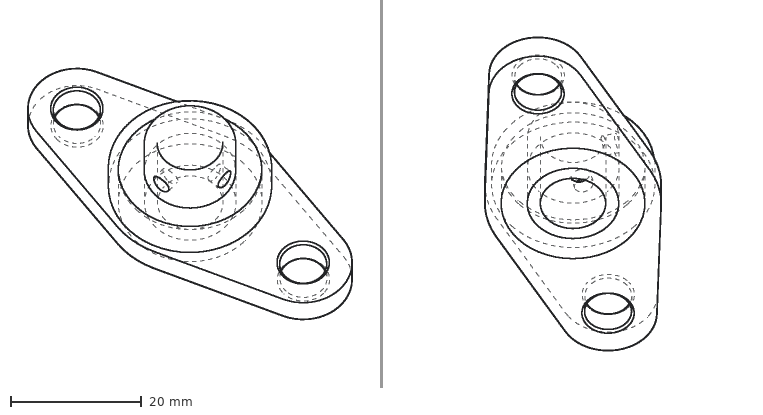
import cadquery as cq
import math

flange_thickness = 4.5
center_radius = 13.5
end_radius = 7.5
mount_hole_spacing = 45.0
mount_hole_diameter = 7.2
mount_hole_chamfer = 0.4
collar_diameter = 25.0
collar_top = 9.5

outer_ring_diameter = 22.0
outer_ring_recess = 1.0
outer_ring_top = collar_top - outer_ring_recess

sleeve_diameter = 14.0
bore_diameter = 10.0
sleeve_top = 16.0
set_screw_diameter = 3.0
set_screw_height = 12.5

rim_fillet = 0.3


def flange_plate():
    """Diamond flange: a central arc and two end arcs joined by tangent lines."""
    end_x = mount_hole_spacing / 2
    tangent_sin = (center_radius - end_radius) / end_x
    tangent_cos = math.sqrt(1 - tangent_sin**2)
    center_dx = center_radius * tangent_sin
    center_dy = center_radius * tangent_cos
    end_tangent_x = end_x + end_radius * tangent_sin
    end_tangent_y = end_radius * tangent_cos
    tip_x = end_x + end_radius
    return (
        cq.Workplane("XY")
        .moveTo(-center_dx, center_dy)
        .threePointArc((0, center_radius), (center_dx, center_dy))
        .lineTo(end_tangent_x, end_tangent_y)
        .threePointArc((tip_x, 0), (end_tangent_x, -end_tangent_y))
        .lineTo(center_dx, -center_dy)
        .threePointArc((0, -center_radius), (-center_dx, -center_dy))
        .lineTo(-end_tangent_x, -end_tangent_y)
        .threePointArc((-tip_x, 0), (-end_tangent_x, end_tangent_y))
        .close()
        .extrude(flange_thickness)
    )


def mount_hole_cutter(x):
    """Revolved cutter for a through hole with a chamfer at both mouths."""
    hole_radius = mount_hole_diameter / 2
    mouth_radius = hole_radius + mount_hole_chamfer
    return (
        cq.Workplane("XZ")
        .moveTo(0, 0)
        .lineTo(mouth_radius, 0)
        .lineTo(hole_radius, mount_hole_chamfer)
        .lineTo(hole_radius, flange_thickness - mount_hole_chamfer)
        .lineTo(mouth_radius, flange_thickness)
        .lineTo(0, flange_thickness)
        .close()
        .revolve(360, (0, 0, 0), (0, 1, 0))
        .translate((x, 0, 0))
    )


def make_housing():
    """Flange with a raised round collar and a through seat for the bearing."""
    collar = cq.Workplane("XY").circle(collar_diameter / 2).extrude(collar_top)
    seat = cq.Workplane("XY").circle(outer_ring_diameter / 2).extrude(collar_top)
    body = flange_plate().union(collar).cut(seat)
    body = body.faces(">Z").edges().fillet(rim_fillet)
    for side in (-1, 1):
        body = body.cut(mount_hole_cutter(side * mount_hole_spacing / 2))
    return body


def make_outer_ring():
    """Plain ring between the housing seat and the sleeve."""
    return (
        cq.Workplane("XY")
        .circle(outer_ring_diameter / 2)
        .circle(sleeve_diameter / 2)
        .extrude(outer_ring_top)
    )


def make_sleeve():
    """Inner ring with a rounded top rim and two set screw holes, toward -Y and +X."""
    sleeve = (
        cq.Workplane("XY")
        .circle(sleeve_diameter / 2)
        .circle(bore_diameter / 2)
        .extrude(sleeve_top)
        .faces(">Z")
        .edges()
        .fillet(rim_fillet)
    )
    for direction in ((0, -1, 0), (1, 0, 0)):
        screw_hole = cq.Solid.makeCylinder(
            set_screw_diameter / 2,
            sleeve_diameter / 2,
            cq.Vector(0, 0, set_screw_height),
            cq.Vector(*direction),
        )
        sleeve = sleeve.cut(cq.Workplane(screw_hole))
    return sleeve


housing = make_housing()
outer_ring = make_outer_ring()
sleeve = make_sleeve()

result = cq.Compound.makeCompound([housing.val(), outer_ring.val(), sleeve.val()])